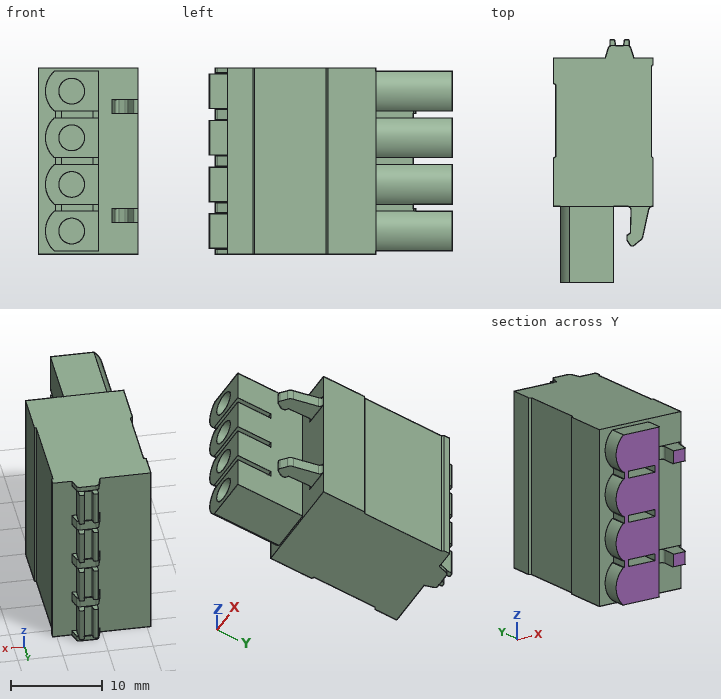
import cadquery as cq
import math


pole_count = 4
overall_height = 20.33
pole_pitch = overall_height / pole_count
body_width = 10.9
body_depth = 16.2
half_width = body_width / 2
half_height = overall_height / 2

recess_front = 5.25
recess_ramp = 0.19
left_recess_back = 13.4
left_recess_depth = 0.26
right_recess_back = 15.45
right_recess_depth = 0.19

total_length = 26.5
tab_rear = 18.18
sleeve_length = total_length - tab_rear
sleeve_height = 4.35
sleeve_left = -4.66
sleeve_right = 1.15
sleeve_bulge = 0.98
hole_center_x = -1.8
hole_diameter = 2.8
hole_depth = 1.22

web_length = 4.08
web_left = -3.58
web_thickness = 0.64

key_center_x = 1.78
tooth_length = 1.32
tooth_base_width = 3.13
tooth_crown_width = 2.3
tooth_crown_radius = 0.37
tooth_height = 1.1
key_gap = 0.093
tab_width = 2.12
tab_height = pole_pitch - tooth_height - 2 * key_gap
tab_corner_radius = 0.15
tab_slot_mouth = 1.05
tab_slot_floor = 0.85

latch_height = 1.5
latch_offset_z = 5.94
latch_length = 4.35
latch_tip_x = 3.13
latch_inner_x = 3.02
latch_inner_radius = 0.42
latch_outer_x = 5.4
hook_x = 2.57
hook_back_y = -3.18
hook_front_y = -3.68
hook_neck = (2.95, -2.92)
nose_inner = (2.92, -4.2)
nose_outer = (3.37, -4.27)
shoulder_front = (4.0, -3.74)
shoulder_middle = (4.25, -3.5)
shoulder_back = (4.35, -3.18)
outer_flank_end = (4.95, -0.37)


def prism(outline, height, center_z):
    """Extrude a closed XY outline along Z, centred on center_z."""
    return outline.extrude(height / 2, both=True).translate((0, 0, center_z))


def make_body():
    left_floor = -half_width + left_recess_depth
    right_floor = half_width - right_recess_depth
    outline = cq.Workplane("XY").polyline([
        (-half_width, 0),
        (half_width, 0),
        (half_width, recess_front),
        (right_floor, recess_front + recess_ramp),
        (right_floor, right_recess_back - recess_ramp),
        (half_width, right_recess_back),
        (half_width, body_depth),
        (-half_width, body_depth),
        (-half_width, left_recess_back),
        (left_floor, left_recess_back - recess_ramp),
        (left_floor, recess_front + recess_ramp),
        (-half_width, recess_front),
    ]).close()
    return prism(outline, overall_height, 0)


def make_sleeve(center_z):
    """D-shaped sleeve with a blind wire hole in its front end."""
    flat_left = sleeve_left + sleeve_bulge
    top = center_z + sleeve_height / 2
    bottom = center_z - sleeve_height / 2
    sleeve = (
        cq.Workplane("XZ")
        .moveTo(flat_left, bottom)
        .lineTo(sleeve_right, bottom)
        .lineTo(sleeve_right, top)
        .lineTo(flat_left, top)
        .threePointArc((sleeve_left, center_z), (flat_left, bottom))
        .close()
        .extrude(sleeve_length)
    )
    hole = (
        cq.Workplane("XZ", origin=(0, -sleeve_length, 0))
        .center(hole_center_x, center_z)
        .circle(hole_diameter / 2)
        .extrude(-hole_depth)
    )
    return sleeve.cut(hole)


def make_webs(center_z):
    """Pair of thin walls filling the gap between two sleeves."""
    wall_centers = [
        (web_left + web_thickness / 2, center_z),
        (sleeve_right - web_thickness / 2, center_z),
    ]
    gap_height = pole_pitch - sleeve_height
    return cq.Workplane("XZ").pushPoints(wall_centers).rect(web_thickness, gap_height).extrude(web_length)


def make_tooth(center_z, height):
    crown_y = body_depth + tooth_length
    outline = cq.Workplane("XY").polyline([
        (key_center_x - tooth_base_width / 2, body_depth),
        (key_center_x + tooth_base_width / 2, body_depth),
        (key_center_x + tooth_crown_width / 2, crown_y),
        (key_center_x - tooth_crown_width / 2, crown_y),
    ]).close()
    return prism(outline, height, center_z).edges("|Z and >Y").fillet(tooth_crown_radius)


def make_tab(center_z):
    """Block with a slot that leaves two prongs standing beyond the tooth crowns."""
    slot_floor_y = body_depth + tooth_length
    outline = cq.Workplane("XY").polyline([
        (key_center_x - tab_width / 2, body_depth),
        (key_center_x + tab_width / 2, body_depth),
        (key_center_x + tab_width / 2, tab_rear),
        (key_center_x + tab_slot_mouth / 2, tab_rear),
        (key_center_x + tab_slot_floor / 2, slot_floor_y),
        (key_center_x - tab_slot_floor / 2, slot_floor_y),
        (key_center_x - tab_slot_mouth / 2, tab_rear),
        (key_center_x - tab_width / 2, tab_rear),
    ]).close()
    return prism(outline, tab_height, center_z).edges("|Z and >Y").fillet(tab_corner_radius)


def make_latch(center_z):
    """Tapered finger with a hook on its inner side."""
    inner_root_x = latch_inner_x - latch_inner_radius
    root_arc_offset = latch_inner_radius * math.sqrt(0.5)
    root_arc_middle = (inner_root_x + root_arc_offset, root_arc_offset - latch_inner_radius)
    outline = (
        cq.Workplane("XY")
        .moveTo(inner_root_x, 0)
        .threePointArc(root_arc_middle, (latch_inner_x, -latch_inner_radius))
        .lineTo(*hook_neck)
        .lineTo(hook_x, hook_back_y)
        .lineTo(hook_x, hook_front_y)
        .lineTo(*nose_inner)
        .threePointArc((latch_tip_x, -latch_length), nose_outer)
        .lineTo(*shoulder_front)
        .threePointArc(shoulder_middle, shoulder_back)
        .lineTo(*outer_flank_end)
        .tangentArcPoint((latch_outer_x, 0), relative=False)
        .close()
    )
    return prism(outline, latch_height, center_z)


connector = make_body()

for pole in range(pole_count):
    pole_z = (pole + 0.5) * pole_pitch - half_height
    connector = connector.union(make_sleeve(pole_z)).union(make_tab(pole_z))

for joint in range(1, pole_count):
    joint_z = joint * pole_pitch - half_height
    connector = connector.union(make_webs(joint_z)).union(make_tooth(joint_z, tooth_height))

for side in (-1, 1):
    end_tooth_z = side * (half_height - tooth_height / 4)
    connector = connector.union(make_tooth(end_tooth_z, tooth_height / 2))
    connector = connector.union(make_latch(side * latch_offset_z))

result = connector